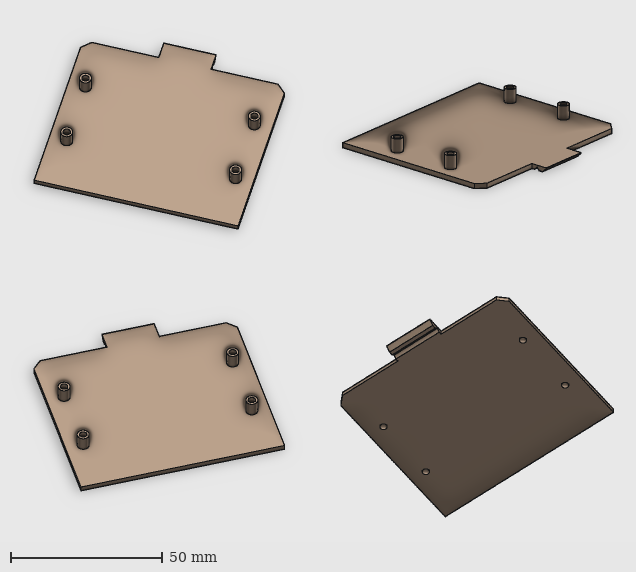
import cadquery as cq

plate_width = 70.0
total_depth = 66.0
tab_depth = 6.15
plate_depth = total_depth - tab_depth
total_height = 6.8
plate_thickness = 1.8
corner_chamfer = 3.0

tab_width = 18.0
tip_thickness = 0.2
tip_bevel = plate_thickness - tip_thickness
notch_depth = 1.05
notch_half_width = notch_depth
notch_from_tip = 4.05

post_diameter = 4.0
bore_diameter = 2.4
post_spacing_x = 57.95
post_spacing_y = 23.0
front_post_y = 18.5


def make_plate():
    """Flat plate with its two rear corners cut at 45 degrees."""
    plate = cq.Workplane("XY").box(
        plate_width, plate_depth, plate_thickness, centered=(True, False, False)
    )
    return plate.edges("|Z and >Y").chamfer(corner_chamfer)


def make_tab():
    """Tab with a 45-degree bevelled tip and a V-notch across its underside."""
    notch_y = total_depth - notch_from_tip
    profile = [
        (plate_depth, 0),
        (notch_y - notch_half_width, 0),
        (notch_y, notch_depth),
        (notch_y + notch_half_width, 0),
        (total_depth - tip_bevel, 0),
        (total_depth, tip_bevel),
        (total_depth, plate_thickness),
        (plate_depth, plate_thickness),
    ]
    return cq.Workplane("YZ").polyline(profile).close().extrude(tab_width / 2, both=True)


def post_pattern(diameter):
    """Four upright cylinders over the full height at the post positions."""
    return (
        cq.Workplane("XY")
        .center(0, front_post_y + post_spacing_y / 2)
        .rarray(post_spacing_x, post_spacing_y, 2, 2)
        .circle(diameter / 2)
        .extrude(total_height)
    )


body = make_plate().union(make_tab()).union(post_pattern(post_diameter))

result = body.cut(post_pattern(bore_diameter))